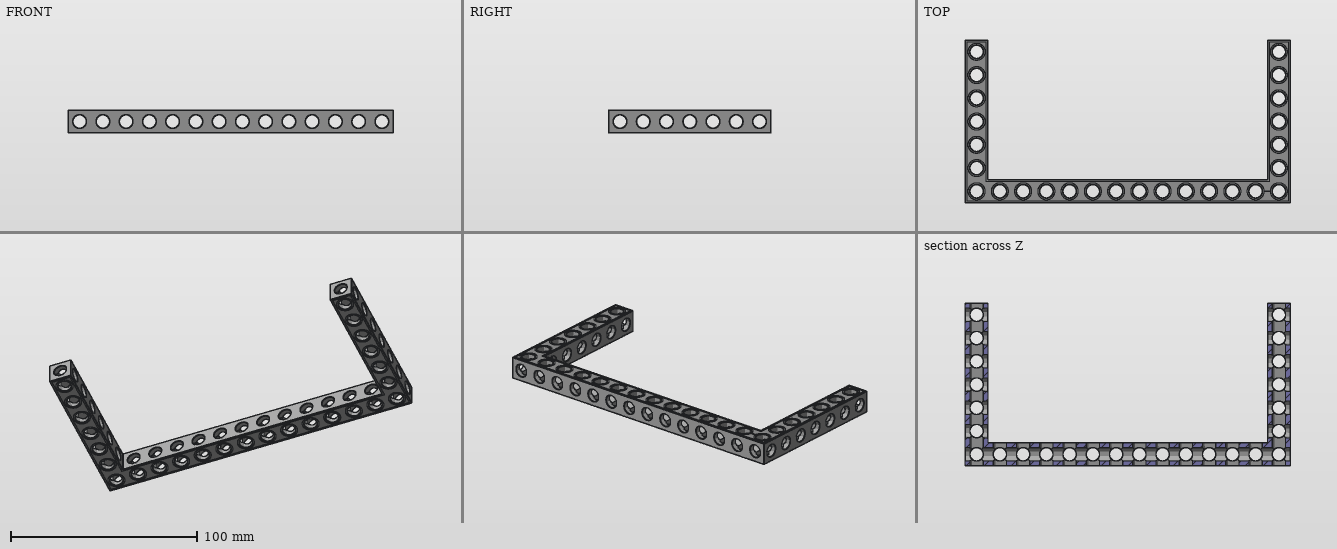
import cadquery as cq
pitch = 12.5
columns = 14
rows = 7

bar = pitch
length = columns * pitch
depth = rows * pitch
edge_chamfer = 0.3

rim_width = 1.1
recess_depth = 0.2
ring_diameter = 9.2
link_rib_width = 0.3

hole_diameter = 7.0
hole_chamfer = 0.3

column_positions = [(column + 0.5) * pitch for column in range(columns)]
row_positions = [(row + 0.5) * pitch for row in range(rows)]
front_row = row_positions[0]
arm_columns = (column_positions[0], column_positions[-1])
front_centres = [(x, front_row) for x in column_positions]
arm_centres = [(x, y) for x in arm_columns for y in row_positions[1:]]
vertical_centres = front_centres + arm_centres


def make_u_plate(inset, thickness):
    """U-shaped plate, open at the back, with its outline moved into the bar by inset."""
    inner = bar - inset
    outline = [
        (inset, inset),
        (length - inset, inset),
        (length - inset, depth - inset),
        (length - inner, depth - inset),
        (length - inner, inner),
        (inner, inner),
        (inner, depth - inset),
        (inset, depth - inset),
    ]
    return cq.Workplane("XY").polyline(outline).close().extrude(thickness)


def make_recess():
    """Volume removed from a horizontal face, lying between the rim and the hole rings."""
    rings = cq.Workplane("XY").pushPoints(vertical_centres).circle(ring_diameter / 2).extrude(recess_depth)
    return make_u_plate(rim_width, recess_depth).cut(rings)


def make_link_rib():
    """Thin rib joining the rings of the last two holes of the front bar."""
    rib = cq.Workplane("XY").box(pitch, link_rib_width, recess_depth, centered=(True, True, False))
    return rib.translate(((column_positions[-2] + column_positions[-1]) / 2, front_row, 0))


def make_bore(reach):
    """Cylinder along Z from the origin, widened by a chamfer at both ends."""
    radius = hole_diameter / 2
    mouth = radius + hole_chamfer
    profile = [
        (0, 0),
        (mouth, 0),
        (radius, hole_chamfer),
        (radius, reach - hole_chamfer),
        (mouth, reach),
        (0, reach),
    ]
    return cq.Workplane("XZ").polyline(profile).close().revolve(360, (0, 0), (0, 1))


def make_bore_along_x(reach):
    """Chamfered bore running from the origin towards +X."""
    return make_bore(reach).rotate((0, 0, 0), (0, 1, 0), 90)


def make_bore_along_y(reach):
    """Chamfered bore running from the origin towards +Y."""
    return make_bore(reach).rotate((0, 0, 0), (1, 0, 0), -90)


def place_bores(bore, starts):
    """Copies of one bore moved to each starting point."""
    return [bore.val().translate(cq.Vector(*start)) for start in starts]


def make_all_bores():
    """Vertical, front-to-back and side-to-side bores of the whole frame."""
    middle = bar / 2
    bores = place_bores(make_bore(bar), [(x, y, 0) for x, y in vertical_centres])
    bores += place_bores(make_bore_along_y(bar), [(x, 0, middle) for x in column_positions[1:-1]])
    bores += place_bores(make_bore_along_y(depth), [(x, 0, middle) for x in arm_columns])
    bores += place_bores(make_bore_along_x(length), [(0, front_row, middle)])
    for arm_start in (0, length - bar):
        bores += place_bores(make_bore_along_x(bar), [(arm_start, y, middle) for y in row_positions[1:]])
    return bores


frame = make_u_plate(0, bar).edges().chamfer(edge_chamfer)

bottom_recess = make_recess()
top_recess = bottom_recess.cut(make_link_rib()).translate((0, 0, bar - recess_depth))
frame = frame.cut(bottom_recess).cut(top_recess)

result = cq.Workplane(frame.val().cut(*make_all_bores()))